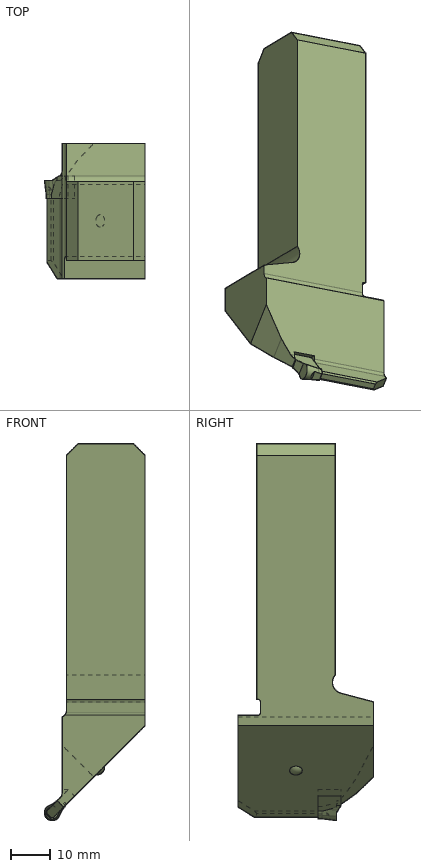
import cadquery as cq
import math


shank_size = 20.0
shank_end_chamfer = 3.0

head_left = -1.1
head_front = -4.72
head_depth = 34.4
head_back = head_front + head_depth
head_right_bottom = -71.55

step_top = -67.8
step_radius = 1.57

ledge_height = -68.9
groove_top = -64.9
groove_depth = 0.95
groove_fillet = 0.6

back_groove_top = -58.7
back_groove_radius = 2.8
back_groove_depth = 0.72
shoulder_slope = math.radians(15)
shoulder_outer_height = -65.5

tool_width = 25.59
nose_radius = 2.0
tool_left = shank_size - tool_width
tool_bottom = -95.66
nose_x = tool_left + nose_radius
nose_z = tool_bottom + nose_radius
insert_front = 15.65
insert_back = 21.45
rake_face = 20.3
rake_ramp_start = 1.5
rake_ramp_end = 3.7
nose_land_back = 16.65
clearance_angle = math.radians(7)
flank_angle = math.radians(20)
neck_blend_radius = 4.0
insert_end = 7.0
nose_flat = -1.26
nose_flat_end = 17.9
nose_flat_runout = 19.0

lower_face = (nose_x - nose_z - shank_size + head_right_bottom) / math.sqrt(2)
blade_thickness = 2.33
upper_face = lower_face + blade_thickness
upper_offset = nose_x - nose_z - upper_face * math.sqrt(2)
lower_offset = nose_x - nose_z - lower_face * math.sqrt(2)
blade_fillet = 1.6
blade_left = -4.93
blade_bottom = -94.8
blade_end = -1.06
blade_corner_start = 3.1
notch_roof = -87.8

back_cut_top = 13.9
back_cut_middle = 7.95
back_cut_middle_y = 25.3
back_cut_bottom = 4.1

bump_diameter = 3.2
bump_height = 0.75
bump_distance = 16.2
bump_y = shank_size / 2

beyond = 60.0


def across_blade(y):
    """Plane facing front at depth y: local X runs up the blade, local Y out of its upper face."""
    return cq.Workplane(cq.Plane((nose_x, y, nose_z), (1, 0, 1), (0, -1, 0)))


def on_blade():
    """Plane along the blade through the nose centre: local X runs up the blade, local Y is Y."""
    return cq.Workplane(cq.Plane((nose_x, 0, nose_z), (1, 0, 1), (-1, 0, 1)))


def along_blade(outline):
    """Prism of an outline of (distance up the blade, Y) points, passing right through the tool."""
    return on_blade().polyline(outline).close().extrude(beyond, both=True)


def front_shape():
    """Shank, step, head wall and blade as seen along Y, extruded over the whole depth."""
    step_end_angle = math.acos(1 + head_left / step_radius)
    step_bottom = step_top - step_radius * math.sin(step_end_angle)
    step_middle = (
        step_radius * (math.cos(step_end_angle / 2) - 1),
        step_top - step_radius * math.sin(step_end_angle / 2),
    )
    end_offset = nose_x + nose_z + blade_end * math.sqrt(2)
    half_angle = math.pi / 8
    fillet_center_x = head_left - blade_fillet
    fillet_end_x = fillet_center_x + blade_fillet * math.cos(2 * half_angle)
    fillet_end_z = fillet_end_x - upper_offset
    fillet_top_z = fillet_end_z + blade_fillet * math.sin(2 * half_angle)
    fillet_middle = (
        fillet_center_x + blade_fillet * math.cos(half_angle),
        fillet_top_z - blade_fillet * math.sin(half_angle),
    )
    return (
        cq.Workplane("XZ", origin=(0, head_back, 0))
        .moveTo(shank_end_chamfer, 0)
        .lineTo(shank_size - shank_end_chamfer, 0)
        .lineTo(shank_size, -shank_end_chamfer)
        .lineTo(shank_size, head_right_bottom)
        .lineTo(blade_bottom + lower_offset, blade_bottom)
        .lineTo(end_offset - blade_bottom, blade_bottom)
        .lineTo(blade_left, end_offset - blade_left)
        .lineTo(blade_left, blade_left - upper_offset)
        .lineTo(fillet_end_x, fillet_end_z)
        .threePointArc(fillet_middle, (head_left, fillet_top_z))
        .lineTo(head_left, step_bottom)
        .threePointArc(step_middle, (0, step_top))
        .lineTo(0, -shank_end_chamfer)
        .close()
        .extrude(head_depth)
    )


def side_shape():
    """Shank and head as seen along X, with the front groove and the back groove and shoulder."""
    center_y = shank_size - back_groove_depth + back_groove_radius
    center_z = back_groove_top - math.sqrt(back_groove_radius**2 - (center_y - shank_size) ** 2)
    shoulder_start = (
        center_y - back_groove_radius * math.sin(shoulder_slope),
        center_z - back_groove_radius * math.cos(shoulder_slope),
    )
    groove_floor = (center_y - back_groove_radius, center_z)
    return (
        cq.Workplane("YZ", origin=(tool_left, 0, 0))
        .moveTo(0, 0)
        .lineTo(shank_size, 0)
        .lineTo(shank_size, back_groove_top)
        .threePointArc(groove_floor, shoulder_start)
        .lineTo(head_back, shoulder_outer_height)
        .lineTo(head_back, tool_bottom)
        .lineTo(head_front, tool_bottom)
        .lineTo(head_front, ledge_height)
        .lineTo(groove_depth - groove_fillet, ledge_height)
        .tangentArcPoint((groove_depth, ledge_height + groove_fillet), relative=False)
        .lineTo(groove_depth, groove_top - groove_fillet)
        .tangentArcPoint((groove_depth - groove_fillet, groove_top), relative=False)
        .lineTo(0, groove_top)
        .close()
        .extrude(shank_size - tool_left)
    )


def front_corner_cut():
    """Wedge that slants the front corner of the blade's end."""
    slope = (blade_corner_start - blade_end) / -head_front
    past_front = 2 * head_front
    return along_blade(
        [
            (blade_end, 0),
            (blade_end - slope * past_front, past_front),
            (-beyond, past_front),
            (-beyond, 0),
        ]
    )


def back_cut():
    """Region behind the two slanted faces that narrow the head towards the insert."""
    return along_blade(
        [
            (back_cut_top, head_back),
            (back_cut_middle, back_cut_middle_y),
            (back_cut_bottom, insert_back),
            (-beyond, insert_back),
            (-beyond, head_back),
        ]
    )


def insert_block():
    """Prism of the insert's neck and seat, open-ended past the nose."""
    return (
        across_blade(insert_back)
        .moveTo(-beyond, lower_face)
        .lineTo(insert_end, lower_face)
        .lineTo(insert_end, upper_face)
        .lineTo(-beyond, upper_face)
        .close()
        .extrude(insert_back - insert_front)
    )


def wall_notch():
    """Flat-roofed notch in the head wall that clears the insert's upper face."""
    return (
        cq.Workplane("XZ", origin=(0, insert_back, 0))
        .moveTo(notch_roof + upper_offset, notch_roof)
        .lineTo(blade_left, notch_roof)
        .lineTo(blade_left, blade_left - upper_offset)
        .close()
        .extrude(insert_back - insert_front)
    )


def bump():
    """Sphere inside the head whose cap stands out of the slanted underside."""
    radius = ((bump_diameter / 2) ** 2 + bump_height**2) / (2 * bump_height)
    center = (bump_distance, lower_face - bump_height + radius)
    return across_blade(bump_y).center(*center).sphere(radius)


def build_holder():
    """Shank, head and blade in one piece."""
    body = front_shape().intersect(side_shape())
    body = body.cut(front_corner_cut()).cut(back_cut())
    body = body.cut(insert_block()).cut(wall_notch())
    return body.union(bump())


def nose_side(face_height, inset):
    """Flank start, flank end, blend middle and blend end on the nose's side towards a neck face."""
    radius = nose_radius - inset
    blend_radius = neck_blend_radius + inset
    blend_y = face_height + neck_blend_radius
    center_distance = nose_radius + neck_blend_radius
    blend_x = (center_distance - blend_y * math.cos(flank_angle)) / math.sin(flank_angle)

    def on_blend(angle):
        return blend_x - blend_radius * math.sin(angle), blend_y - blend_radius * math.cos(angle)

    flank_start = (radius * math.sin(flank_angle), radius * math.cos(flank_angle))
    return flank_start, on_blend(flank_angle), on_blend(flank_angle / 2), on_blend(0)


def nose_section(y, inset):
    """Round nose, flanks and concave blends to the neck, at depth y, moved in by an inset."""
    upper = nose_side(upper_face, inset)
    lower = [(x, -height) for x, height in nose_side(-lower_face, inset)]
    return (
        across_blade(y)
        .moveTo(*lower[0])
        .threePointArc((inset - nose_radius, 0), upper[0])
        .lineTo(*upper[1])
        .threePointArc(upper[2], upper[3])
        .lineTo(*lower[3])
        .threePointArc(lower[2], lower[1])
        .close()
    )


def build_insert():
    """Neck block and relieved round nose, trimmed by the rake, its ramp and the nose flat."""
    land_inset = (rake_face - nose_land_back) * math.tan(clearance_angle)
    back_inset = (rake_face - insert_back) * math.tan(clearance_angle)
    back_wire = nose_section(insert_back, back_inset).wire().val()
    land_wire = nose_section(nose_land_back, land_inset).wire().val()
    relieved = cq.Workplane(cq.Solid.makeLoft([back_wire, land_wire], True))
    land = nose_section(nose_land_back, land_inset).extrude(nose_land_back - insert_front)
    neck = insert_block().intersect(
        along_blade(
            [
                (0, insert_front),
                (insert_end, insert_front),
                (insert_end, insert_back),
                (0, insert_back),
            ]
        )
    )
    side_outline = along_blade(
        [
            (nose_flat, insert_front),
            (insert_end, insert_front),
            (insert_end, insert_back),
            (rake_ramp_end, insert_back),
            (rake_ramp_start, rake_face),
            (-nose_radius, rake_face),
            (-nose_radius, nose_flat_runout),
            (nose_flat, nose_flat_end),
        ]
    )
    return neck.union(relieved).union(land).intersect(side_outline)


holder = build_holder()
insert = build_insert()
result = cq.Compound.makeCompound([holder.val(), insert.val()])